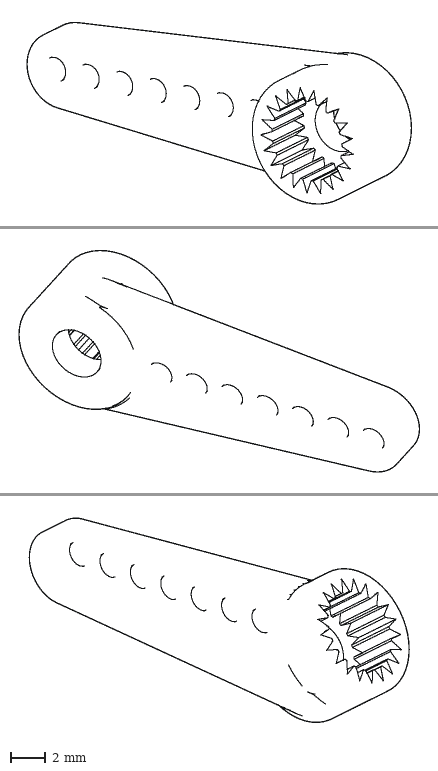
import cadquery as cq
import math

length = 25.15
hub_diameter = 7.77
hub_depth = 5.33
arm_thickness = 2.41
arm_setback = 0.38
tip_radius = 2.35
edge_round = 0.15

hole_count = 7
hole_radius = 0.75
hole_pitch = 2.35
last_hole_distance = 5.28

tooth_count = 21
tooth_root_radius = 3.22
tooth_crest_radius = 2.45
tooth_crest_width = 0.15
spline_depth = 3.35
screw_radius = 1.6

hub_radius = hub_diameter / 2
tip_x = hub_radius + tip_radius - length
arm_back = hub_depth - arm_setback
arm_front = arm_back - arm_thickness


def plane_at(y):
    """XZ sketch plane at depth y, extruding towards -Y."""
    return cq.Workplane("XZ", origin=(0, y, 0))


def polar(radius, angle, center_x=0.0):
    return (center_x + radius * math.cos(angle), radius * math.sin(angle))


def make_arm_outline(back, depth, inset=0.0):
    """Plate bounded by the tip and hub circles and their common tangents."""
    outer = hub_radius - inset
    inner = tip_radius - inset
    normal_angle = math.pi / 2 + math.asin((outer - inner) / -tip_x)
    return (
        plane_at(back)
        .moveTo(*polar(outer, normal_angle))
        .lineTo(*polar(inner, normal_angle, tip_x))
        .threePointArc((tip_x - inner, 0), polar(inner, -normal_angle, tip_x))
        .lineTo(*polar(outer, -normal_angle))
        .threePointArc((outer, 0), polar(outer, normal_angle))
        .close()
        .extrude(depth)
    )


def make_arm():
    """Arm with its linkage holes, every edge of both faces rounded."""
    hole_centers = [(-last_hole_distance - index * hole_pitch, 0) for index in range(hole_count)]
    holes = plane_at(arm_back).pushPoints(hole_centers).circle(hole_radius).extrude(arm_thickness)
    plate = make_arm_outline(arm_back, arm_thickness).cut(holes)
    return plate.faces("<Y or >Y").edges().fillet(edge_round)


def make_hub():
    hub = plane_at(hub_depth).circle(hub_radius).extrude(hub_depth)
    return hub.faces("<Y or >Y").edges().fillet(edge_round)


def make_corner_fillets():
    """Concave rings in the corners between the arm faces and the hub wall, kept to the flat of the arm."""
    foot_radius = hub_radius + edge_round
    collar = (
        cq.Workplane("XY")
        .moveTo(0, arm_front - edge_round)
        .lineTo(hub_radius, arm_front - edge_round)
        .radiusArc((foot_radius, arm_front), edge_round)
        .lineTo(foot_radius, arm_back)
        .radiusArc((hub_radius, arm_back + edge_round), edge_round)
        .lineTo(0, arm_back + edge_round)
        .close()
        .revolve(360, (0, 0, 0), (0, 1, 0))
    )
    return collar.intersect(make_arm_outline(hub_depth, hub_depth, inset=edge_round))


def make_socket():
    """Splined pocket, its teeth cut flat at the crest, with the screw hole running on to the back."""
    half_step = math.pi / tooth_count
    half_crest = math.asin(tooth_crest_width / 2 / tooth_crest_radius)
    points = []
    for index in range(tooth_count):
        root_angle = -math.pi / 2 + 2 * half_step * index
        points.append(polar(tooth_root_radius, root_angle))
        crest_angle = root_angle + half_step
        points.append(polar(tooth_crest_radius, crest_angle - half_crest))
        points.append(polar(tooth_crest_radius, crest_angle + half_crest))
    spline = plane_at(spline_depth).polyline(points).close().extrude(spline_depth)
    screw_hole = plane_at(hub_depth).circle(screw_radius).extrude(hub_depth)
    return spline.union(screw_hole)


body = make_arm().union(make_hub()).union(make_corner_fillets())
result = body.cut(make_socket())